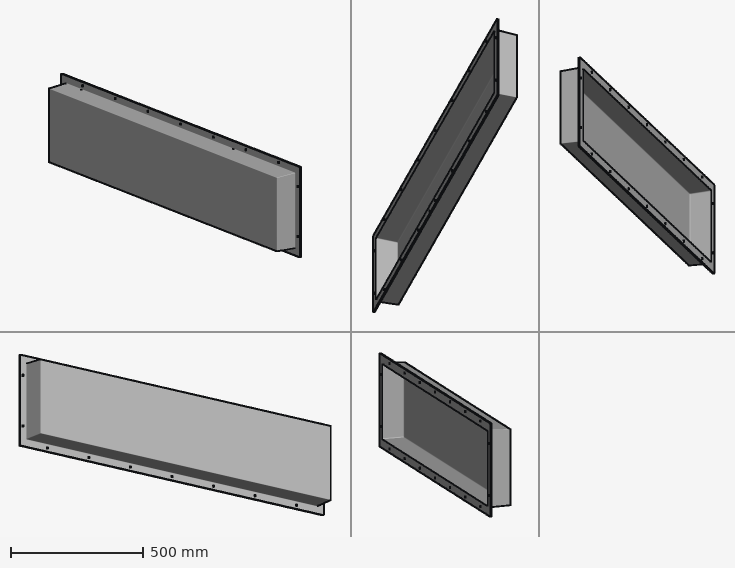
import cadquery as cq
flange_length = 1464.0
flange_height = 360.0
flange_thickness = 6.0
flange_corner_radius = 5.0

total_depth = 91.0
tub_length = 1404.0
tub_height = 300.0
tub_wall = 5.0
tub_edge_radius = 2.0
inner_radius = 4.0
root_radius = 2.0

draft = 2.0

hole_diameter = 6.0
hole_pitch = 200.0
hole_edge_distance = 15.0
holes_along_length = 7
holes_along_height = 2


def drafted_block(length, height, y_back, y_front):
    """Block centred on X and Z that narrows by the draft angle from y_back to y_front."""
    plane = cq.Workplane("XZ", origin=(0, y_back, 0))
    return plane.rect(length, height).extrude(y_back - y_front, taper=draft)


def make_flange():
    flange = drafted_block(flange_length, flange_height, 0, -flange_thickness)
    return flange.edges("not(#Y)").fillet(flange_corner_radius)


def make_tub():
    tub = drafted_block(tub_length, tub_height, -flange_thickness, -total_depth)
    return tub.edges("not(>Y)").fillet(tub_edge_radius)


def round_root(tray):
    """Fillet the inside corner where the tub meets the flange."""
    margin = 1.0
    x_reach = tub_length / 2 + margin
    z_reach = tub_height / 2 + margin
    root = cq.selectors.BoxSelector(
        (-x_reach, -flange_thickness - margin, -z_reach),
        (x_reach, -flange_thickness + margin, z_reach),
        boundingbox=True,
    )
    return tray.edges(root).fillet(root_radius)


def make_cavity():
    cavity = drafted_block(tub_length - 2 * tub_wall, tub_height - 2 * tub_wall, 0, tub_wall - total_depth)
    return cavity.edges("not(>Y)").fillet(inner_radius)


def centred_row(count):
    """Evenly pitched positions centred on zero."""
    return [(i - (count - 1) / 2) * hole_pitch for i in range(count)]


def make_holes():
    x_side = flange_length / 2 - hole_edge_distance
    z_side = flange_height / 2 - hole_edge_distance
    points = [(x, side * z_side) for x in centred_row(holes_along_length) for side in (-1, 1)]
    points += [(side * x_side, z) for z in centred_row(holes_along_height) for side in (-1, 1)]
    return cq.Workplane("XZ").pushPoints(points).circle(hole_diameter / 2).extrude(flange_thickness)


tray = round_root(make_flange().union(make_tub()))
result = tray.cut(make_cavity()).cut(make_holes())